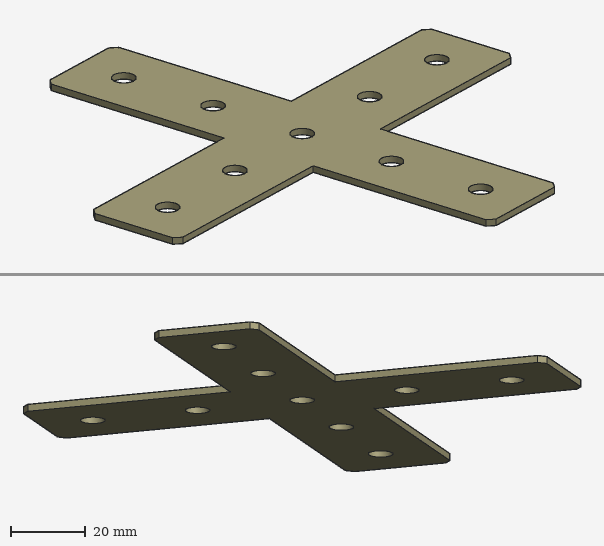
import cadquery as cq

span = 150.0
arm_width = span / 5
thickness = 2.0
corner_chamfer = 2.0
hole_diameter = 6.6
hole_pitch = arm_width
holes_per_side = 2


def arm(length_x, length_y):
    """Flat bar centred on the origin, resting on Z = 0, with chamfered corners."""
    bar = cq.Workplane("XY").box(length_x, length_y, thickness, centered=(True, True, False))
    return bar.edges("|Z").chamfer(corner_chamfer)


def hole_centers():
    """One central hole plus evenly spaced holes along all four arms."""
    centers = [(0, 0)]
    for step in range(1, holes_per_side + 1):
        offset = step * hole_pitch
        centers += [(offset, 0), (-offset, 0), (0, offset), (0, -offset)]
    return centers


plate = arm(span, arm_width).union(arm(arm_width, span))

result = plate.faces(">Z").workplane(origin=(0, 0, 0)).pushPoints(hole_centers()).hole(hole_diameter)